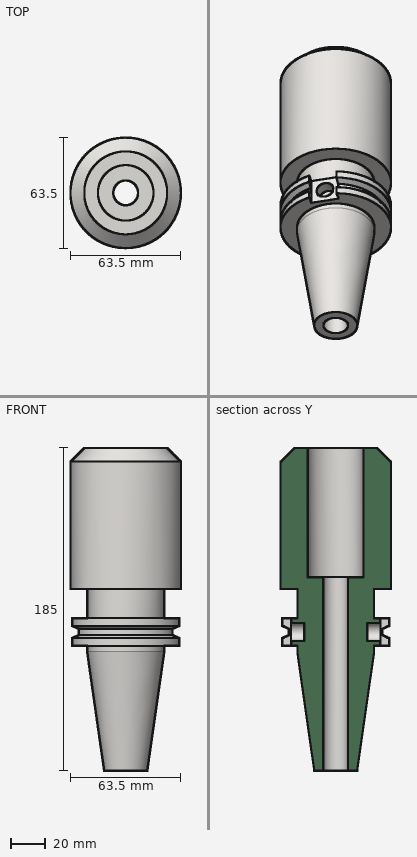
import cadquery as cq

total_length = 185.0
outer_diameter = 63.5
outer_radius = outer_diameter / 2

gauge_diameter = 44.5
gauge_height = 68.5
small_end_diameter = 24.8

flange_bottom = gauge_height + 3.1
flange_thickness = 16.0
flange_top = flange_bottom + flange_thickness
flange_middle = flange_bottom + flange_thickness / 2
rim_thickness = 4.5
groove_floor_width = 3.5
groove_radius = 28.1

slot_width = 16.1
slot_floor_distance = 25.5
slot_hole_diameter = 9.8
slot_hole_depth = 7.4

head_bottom = 104.2
head_chamfer = 8.0
bore_diameter = 31.8
bore_depth = 74.0
through_hole_diameter = 14.0


def make_body():
    """Revolve the outer half profile, given as (radius, height), around Z."""
    neck_radius = gauge_diameter / 2
    profile = [
        (0, 0),
        (small_end_diameter / 2, 0),
        (neck_radius, gauge_height),
        (neck_radius, flange_bottom),
        (outer_radius, flange_bottom),
        (outer_radius, flange_bottom + rim_thickness),
        (groove_radius, flange_middle - groove_floor_width / 2),
        (groove_radius, flange_middle + groove_floor_width / 2),
        (outer_radius, flange_top - rim_thickness),
        (outer_radius, flange_top),
        (neck_radius, flange_top),
        (neck_radius, head_bottom),
        (outer_radius, head_bottom),
        (outer_radius, total_length - head_chamfer),
        (outer_radius - head_chamfer, total_length),
        (0, total_length),
    ]
    return cq.Workplane("XZ").polyline(profile).close().revolve(360, (0, 0), (0, 1))


def make_bores():
    """Tool bore from the top and the narrower hole along the whole axis."""
    through_hole = cq.Workplane("XY").circle(through_hole_diameter / 2).extrude(total_length)
    tool_bore = (
        cq.Workplane("XY", origin=(0, 0, total_length - bore_depth))
        .circle(bore_diameter / 2)
        .extrude(bore_depth)
    )
    return through_hole.union(tool_bore)


def make_drive_slot(side):
    """Slot through the flange on the +X (side = 1) or -X (side = -1) side, with its hole."""
    slot_depth = outer_radius - slot_floor_distance
    slot = cq.Workplane("XY").box(slot_depth, slot_width, flange_thickness).translate(
        (side * (slot_floor_distance + slot_depth / 2), 0, flange_middle)
    )
    hole = (
        cq.Workplane("YZ", origin=(side * slot_floor_distance, 0, flange_middle))
        .circle(slot_hole_diameter / 2)
        .extrude(-side * slot_hole_depth)
    )
    return slot.union(hole)


result = make_body().cut(make_bores())
for side in (-1, 1):
    result = result.cut(make_drive_slot(side))